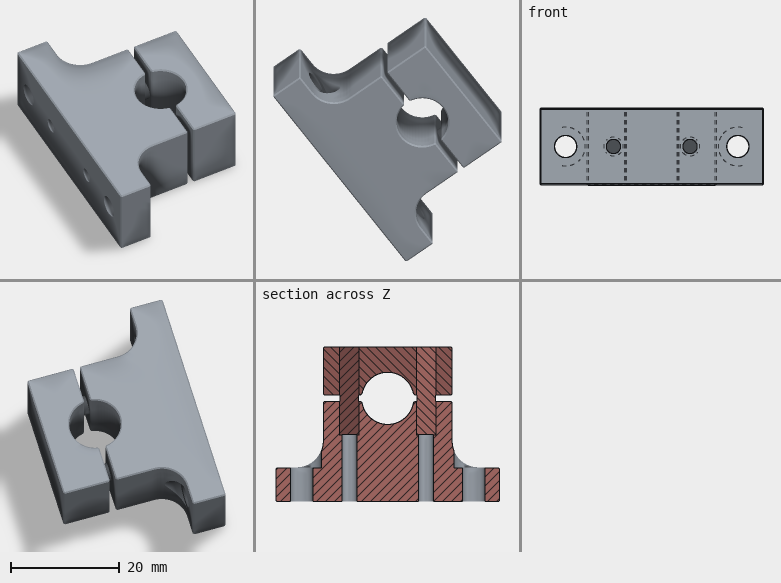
import cadquery as cq

overall_width = 41.25
overall_height = 28.6
base_depth = 14.2
cap_drop = 0.1
block_width = 23.8
flange_thickness = 6.3
flank_radius = 4.85
base_top = 18.55
clamp_gap = 1.15
edge_chamfer = 0.25
seam_tolerance = 0.005

bore_diameter = 9.55
bore_y = 19.05

mount_spacing = 31.75
mount_diameter = 4.05
spotface_diameter = 7.2

screw_spacing = 14.1
screw_diameter = 3.5
screw_engagement = 6.2
pilot_diameter = 2.65

half_block = block_width / 2
half_flange = overall_width / 2
flank_foot = half_block + flank_radius
flank_top = flange_thickness + flank_radius
cap_bottom = base_top + clamp_gap
screw_tip = base_top - screw_engagement
base_floor = -base_depth / 2
cap_floor = base_floor - cap_drop
cap_depth = base_depth + cap_drop
mount_places = (-mount_spacing / 2, mount_spacing / 2)
screw_places = (-screw_spacing / 2, screw_spacing / 2)


def cylinder_along_y(x, y_start, y_end, diameter):
    """Solid cylinder on the base mid-plane, running in +Y."""
    return cq.Workplane(
        cq.Solid.makeCylinder(diameter / 2, y_end - y_start, cq.Vector(x, y_start, 0), cq.Vector(0, 1, 0))
    )


def shaft_bore():
    """Cutter for the shaft bore, longer than both clamp halves."""
    return cq.Workplane().center(0, bore_y).circle(bore_diameter / 2).extrude(cap_depth, both=True)


def is_sharp(edge):
    """False for the seams where a concave flank runs smoothly into a flat."""
    middle = edge.Center()
    on_wall_seam = abs(middle.y - flank_top) < seam_tolerance
    on_flange_seam = abs(abs(middle.x) - flank_foot) < seam_tolerance
    return not (on_wall_seam or on_flange_seam)


def chamfer_all(body):
    """Break the edges around both Z faces and all sharp edges parallel to Z."""
    corners = body.edges("|Z").filter(is_sharp)
    rims = body.faces("<Z or >Z").edges()
    return body.newObject(corners.vals() + rims.vals()).chamfer(edge_chamfer)


def make_base():
    body = (
        cq.Workplane()
        .workplane(offset=base_floor)
        .moveTo(-half_flange, 0)
        .lineTo(half_flange, 0)
        .lineTo(half_flange, flange_thickness)
        .lineTo(flank_foot, flange_thickness)
        .radiusArc((half_block, flank_top), flank_radius)
        .lineTo(half_block, base_top)
        .lineTo(-half_block, base_top)
        .lineTo(-half_block, flank_top)
        .radiusArc((-flank_foot, flange_thickness), flank_radius)
        .lineTo(-half_flange, flange_thickness)
        .close()
        .extrude(base_depth)
    )
    body = chamfer_all(body.cut(shaft_bore()))
    for x in mount_places:
        body = body.cut(cylinder_along_y(x, 0, flange_thickness, mount_diameter))
        body = body.cut(cylinder_along_y(x, flange_thickness, base_top, spotface_diameter))
    for x in screw_places:
        body = body.cut(cylinder_along_y(x, 0, screw_tip, pilot_diameter))
        body = body.cut(cylinder_along_y(x, screw_tip, base_top, screw_diameter))
    return body


def make_cap():
    body = (
        cq.Workplane()
        .box(block_width, overall_height - cap_bottom, cap_depth, centered=(True, False, False))
        .translate((0, cap_bottom, cap_floor))
    )
    body = body.cut(shaft_bore())
    body = chamfer_all(body)
    for x in screw_places:
        body = body.cut(cylinder_along_y(x, cap_bottom, overall_height, screw_diameter))
    return body


def make_screw(x):
    """Plain screw shank from its tip in the base to the outer face of the cap."""
    return cylinder_along_y(x, screw_tip, overall_height, screw_diameter)


base = make_base()
cap = make_cap()
screws = [make_screw(x) for x in screw_places]

result = cq.Compound.makeCompound([base.val(), cap.val(), *[screw.val() for screw in screws]])